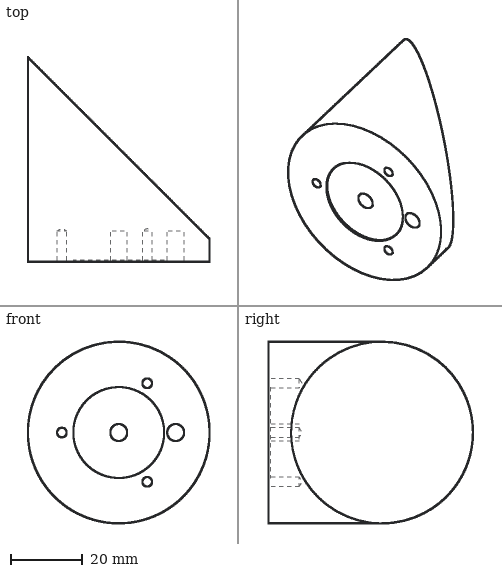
import cadquery as cq
import math

body_diameter = 50.8
body_radius = body_diameter / 2
long_side = 57.15
short_side = long_side - body_diameter

recess_diameter = body_diameter / 2
recess_depth = 0.5

plain_hole_diameter = 4.75
plain_hole_depth = 8.6

hole_circle_radius = 15.9
screw_hole_diameter = 2.7
screw_hole_depth = 8.6
screw_hole_angles = (60, 180, 300)
drill_point_angle = 118

mounting_face = cq.Workplane("XZ").transformed(rotate=(180, 0, 0))


def make_body():
    """Side profile in the XY plane, trimmed to the round cross-section."""
    cylinder = mounting_face.circle(body_radius).extrude(long_side)
    side_profile = [
        (-body_radius, 0),
        (body_radius, 0),
        (body_radius, short_side),
        (-body_radius, long_side),
    ]
    slanted_block = cq.Workplane("XY").polyline(side_profile).close().extrude(body_radius, both=True)
    return cylinder.intersect(slanted_block)


def make_plain_bore(diameter, depth):
    """Cylinder reaching from the mounting face to the given depth."""
    return mounting_face.circle(diameter / 2).extrude(depth)


def make_screw_hole():
    """Drilled bore: a cylinder ending in a drill-point cone."""
    radius = screw_hole_diameter / 2
    point_length = radius / math.tan(math.radians(drill_point_angle / 2))
    half_section = [
        (0, 0),
        (radius, 0),
        (radius, screw_hole_depth),
        (0, screw_hole_depth + point_length),
    ]
    return cq.Workplane("XY").polyline(half_section).close().revolve(360, (0, 0, 0), (0, 1, 0))


result = make_body()
result = result.cut(make_plain_bore(recess_diameter, recess_depth))

plain_hole = make_plain_bore(plain_hole_diameter, plain_hole_depth)
result = result.cut(plain_hole)
result = result.cut(plain_hole.translate((hole_circle_radius, 0, 0)))

screw_hole = make_screw_hole().translate((hole_circle_radius, 0, 0))
for angle in screw_hole_angles:
    result = result.cut(screw_hole.rotate((0, 0, 0), (0, 1, 0), angle))